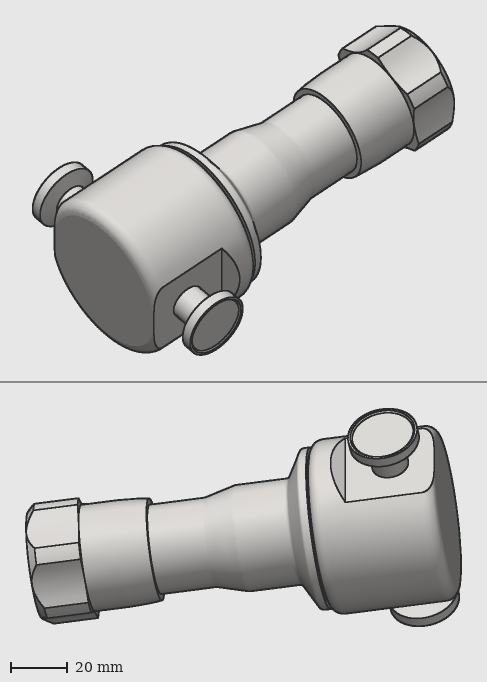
import cadquery as cq
import math

LENGTH = 148.0

BODY_RADIUS = 62.3 / 2
BODY_LENGTH = 45.3
FLAT_OFFSET = 26.6
BODY_ROUND = BODY_RADIUS - FLAT_OFFSET
FLAT_LENGTH = 32.0

GAP_RADIUS = FLAT_OFFSET
COLLAR_START = 45.7

COLLAR_RADIUS = 28.9
COLLAR_RIM_END = 48.7
COLLAR_CONE_ANGLE = 60.0
COLLAR_ROUND = 1.5

STEM_RADIUS = 38.0 / 2
WAIST_RADIUS = 16.0
WAIST_CONE_START = 73.7
WAIST_CONE_ANGLE = 15.0
WAIST_CONE_ROUND = 2.7

SLEEVE_START = 104.9
SLEEVE_START_RADIUS = 18.2
SLEEVE_CURVE_START = 116.1

NUT_RADIUS = 22.2
NUT_START = 129.0
NUT_CHAMFER = 3.1
SCALLOP_COUNT = 6
SCALLOP_WIDTH_ANGLE = 44.5
SCALLOP_FLOOR_RADIUS = 19.2
SCALLOP_FIRST_ANGLE = 21.6

PORT_SPAN = 84.3
PORT_Y = 15.8
PORT_PIPE_RADIUS = 6.5
FLANGE_RADIUS = 12.5
FLANGE_RIM = 4.0
FLANGE_TAPER = 2.2
RECESS_RADIUS = 11.5
RECESS_FLOOR_RADIUS = 11.0
RECESS_DEPTH = 0.6


def cylinder(radius, start, end):
    """Solid cylinder on the Y axis from y = start to y = end."""
    return cq.Workplane("XZ", origin=(0, start, 0)).circle(radius).extrude(start - end)


def round_edge(solid, y, radius):
    """Round the circular edges that lie in the plane at the given y."""
    tolerance = 0.01
    return solid.edges(
        cq.selectors.BoxSelector(
            (-LENGTH, y - tolerance, -LENGTH), (LENGTH, y + tolerance, LENGTH), boundingbox=True
        )
    ).fillet(radius)


def make_body():
    body = cylinder(BODY_RADIUS, 0, BODY_LENGTH).edges().fillet(BODY_ROUND)
    run_out = 2 * BODY_ROUND
    side_cut = (
        cq.Workplane("XY")
        .moveTo(FLAT_OFFSET, -run_out)
        .lineTo(FLAT_OFFSET, FLAT_LENGTH)
        .lineTo(FLAT_OFFSET + run_out, FLAT_LENGTH + run_out)
        .lineTo(FLAT_OFFSET + run_out, -run_out)
        .close()
        .extrude(BODY_RADIUS, both=True)
    )
    return body.cut(side_cut).cut(side_cut.mirror("YZ"))


def make_stem():
    collar_cone_length = (COLLAR_RADIUS - STEM_RADIUS) / math.tan(math.radians(COLLAR_CONE_ANGLE))
    collar_cone_end = COLLAR_RIM_END + collar_cone_length
    waist_cone_length = (STEM_RADIUS - WAIST_RADIUS) / math.tan(math.radians(WAIST_CONE_ANGLE))
    waist_cone_end = WAIST_CONE_START + waist_cone_length
    outline = [
        (0, COLLAR_START),
        (COLLAR_RADIUS, COLLAR_START),
        (COLLAR_RADIUS, COLLAR_RIM_END),
        (STEM_RADIUS, collar_cone_end),
        (STEM_RADIUS, WAIST_CONE_START),
        (WAIST_RADIUS, waist_cone_end),
        (WAIST_RADIUS, SLEEVE_START),
        (0, SLEEVE_START),
    ]
    stem = cq.Workplane("XY").polyline(outline).close().revolve(360, (0, 0), (0, 1))
    for y in (COLLAR_RIM_END, collar_cone_end):
        stem = round_edge(stem, y, COLLAR_ROUND)
    for y in (WAIST_CONE_START, waist_cone_end):
        stem = round_edge(stem, y, WAIST_CONE_ROUND)
    return stem


def make_sleeve():
    return (
        cq.Workplane("XY")
        .moveTo(0, NUT_START)
        .lineTo(STEM_RADIUS, NUT_START)
        .lineTo(STEM_RADIUS, SLEEVE_CURVE_START)
        .tangentArcPoint((SLEEVE_START_RADIUS, SLEEVE_START), relative=False)
        .lineTo(0, SLEEVE_START)
        .close()
        .revolve(360, (0, 0), (0, 1))
    )


def make_nut():
    nut = cylinder(NUT_RADIUS, NUT_START, LENGTH).faces(">Y").chamfer(NUT_CHAMFER)
    half_angle = math.radians(SCALLOP_WIDTH_ANGLE / 2)
    half_chord = NUT_RADIUS * math.sin(half_angle)
    depth = NUT_RADIUS * math.cos(half_angle) - SCALLOP_FLOOR_RADIUS
    scallop_radius = (half_chord**2 + depth**2) / (2 * depth)
    scallop = cylinder(scallop_radius, NUT_START, LENGTH).translate(
        (0, 0, SCALLOP_FLOOR_RADIUS + scallop_radius)
    )
    for i in range(SCALLOP_COUNT):
        angle = SCALLOP_FIRST_ANGLE + i * 360 / SCALLOP_COUNT
        nut = nut.cut(scallop.rotate((0, 0, 0), (0, 1, 0), angle))
    return nut


def make_port():
    """Port on the +X side, turned about its own axis and reaching inside the body."""
    end = PORT_SPAN / 2
    rim_start = end - FLANGE_RIM
    pipe_end = rim_start - FLANGE_TAPER
    pipe_start = FLAT_OFFSET - BODY_ROUND
    outline = [
        (pipe_start, 0),
        (pipe_start, PORT_PIPE_RADIUS),
        (pipe_end, PORT_PIPE_RADIUS),
        (rim_start, FLANGE_RADIUS),
        (end, FLANGE_RADIUS),
        (end, RECESS_RADIUS),
        (end - RECESS_DEPTH, RECESS_FLOOR_RADIUS),
        (end - RECESS_DEPTH, 0),
    ]
    port = cq.Workplane("XY").polyline(outline).close().revolve(360, (0, 0), (1, 0))
    return port.translate((0, PORT_Y, 0))


gap = cylinder(GAP_RADIUS, BODY_LENGTH, COLLAR_START)
port = make_port()
result = make_body().union(gap).union(make_stem())
result = result.union(make_sleeve()).union(make_nut())
result = result.union(port).union(port.mirror("YZ"))